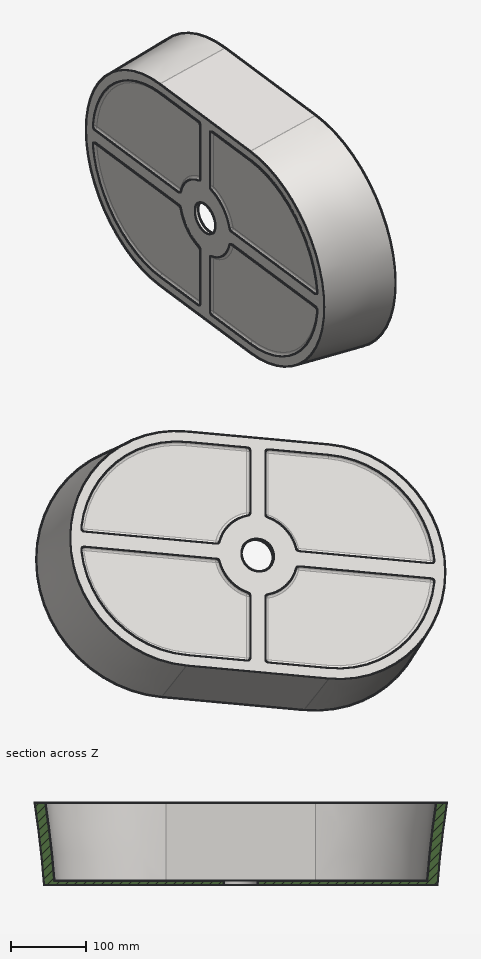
import cadquery as cq

length = 550.0
height = 351.0
depth = 110.0
straight_length = length - height
base_inset = 12.5

wall = 15.0
floor_thickness = 6.0
drain_diameter = 45.0

rim_width = 14.5
rib_width = 20.5
hub_radius = 55.0
recess_depth = 3.0
corner_radius = 5.0
floor_fillet = 4.85

under_y = -depth / 2
rim_y = depth / 2


def xz_plane(y):
    """Workplane at the given Y, with its normal along -Y."""
    return cq.Workplane("XZ", origin=(0, y, 0))


def stadium_loft(y_start, height_start, y_end, height_end):
    """Tapered stadium whose straight length is the same at both ends."""
    return (
        xz_plane(y_start)
        .slot2D(straight_length + height_start, height_start)
        .workplane(offset=y_start - y_end)
        .slot2D(straight_length + height_end, height_end)
        .loft(ruled=True)
    )


def make_basin():
    base_height = height - 2 * base_inset
    body = stadium_loft(rim_y, height, under_y, base_height)
    cavity_floor_y = under_y + floor_thickness
    rim_opening = height - 2 * wall
    floor_opening = rim_opening - 2 * base_inset * (depth - floor_thickness) / depth
    return body.cut(stadium_loft(rim_y, rim_opening, cavity_floor_y, floor_opening))


def make_recesses():
    """Four tools for the recesses, with rounded floor edges, standing proud of the underside."""
    recess_height = height - 2 * (base_inset + rim_width)
    recess_length = straight_length + recess_height
    floor_y = under_y + recess_depth
    cut_height = 2 * corner_radius
    recesses = xz_plane(floor_y).slot2D(recess_length, recess_height).extrude(cut_height)
    dividers = (
        xz_plane(floor_y)
        .circle(hub_radius)
        .extrude(cut_height)
        .union(xz_plane(floor_y).rect(length, rib_width).extrude(cut_height))
        .union(xz_plane(floor_y).rect(rib_width, height).extrude(cut_height))
    )
    recesses = recesses.cut(dividers)
    seam_x = straight_length / 2
    corners = recesses.edges("|Y").filter(lambda edge: abs(abs(edge.Center().x) - seam_x) > corner_radius)
    return corners.fillet(corner_radius).faces(">Y").edges().fillet(floor_fillet)


def make_drain():
    return xz_plane(rim_y).circle(drain_diameter / 2).extrude(depth)


result = make_basin().cut(make_recesses()).cut(make_drain())